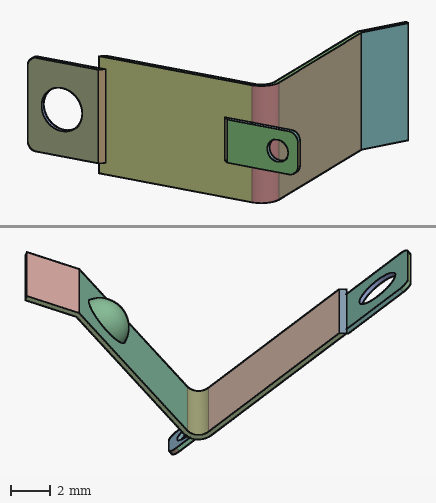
import cadquery as cq
import math

length = 15.57
depth = 12.0
strip_width = 6.35
thickness = 0.25

base_start = 3.97
bend_start = 12.78
bend_radius = 1.05
bend_end = math.radians(-5)
lean = math.radians(1.9)
flare = math.radians(32)
kink_y = 9.55
bevel = 0.3

tab_corner_radius = 0.5
large_tab_width = 5.08
large_tab_end = 4.38
large_hole_x = 1.98
large_hole_diameter = 2.34
small_tab_width = 2.34
small_tab_start = 11.23
small_hole_x = 14.42
small_hole_diameter = 1.2

dome_radius = 1.5
dome_height = 1.0
dome_y = 7.45


def extrude_centred(profile, width):
    return profile.close().extrude(width / 2, both=True)


def bend_point(radius, angle):
    """Point on the bend, with the angle measured from +X."""
    return (
        bend_start + radius * math.cos(angle),
        thickness + bend_radius + radius * math.sin(angle),
    )


def outer_upright_x(y):
    start_x, start_y = bend_point(bend_radius, bend_end)
    return start_x + (y - start_y) * math.tan(lean)


def make_strip():
    inner_radius = bend_radius - thickness
    mid_bend = -math.pi / 4

    outer_kink = (outer_upright_x(kink_y), kink_y)
    mitre = thickness / math.cos((flare - lean) / 2)
    mitre_angle = (flare + lean) / 2
    inner_kink = (
        outer_kink[0] - mitre * math.cos(mitre_angle),
        outer_kink[1] + mitre * math.sin(mitre_angle),
    )
    inner_tip = (inner_kink[0] + (depth - inner_kink[1]) * math.tan(flare), depth)
    outer_tip = (
        inner_tip[0] + thickness * math.cos(flare),
        inner_tip[1] - thickness * math.sin(flare),
    )

    profile = (
        cq.Workplane("XY")
        .moveTo(base_start, thickness)
        .lineTo(bend_start, thickness)
        .threePointArc(bend_point(bend_radius, mid_bend), bend_point(bend_radius, bend_end))
        .lineTo(*outer_kink)
        .lineTo(*outer_tip)
        .lineTo(*inner_tip)
        .lineTo(*inner_kink)
        .lineTo(*bend_point(inner_radius, bend_end))
        .threePointArc(bend_point(inner_radius, mid_bend), (bend_start, 2 * thickness))
        .lineTo(base_start + bevel, 2 * thickness)
    )
    return extrude_centred(profile, strip_width)


def make_tab(free_x, joined_x, width, hole_x, hole_diameter):
    """Flat tab under the strip, rounded at its free end and bevelled at the other."""
    toward_free = math.copysign(1, free_x - joined_x)
    profile = (
        cq.Workplane("XY")
        .moveTo(free_x, 0)
        .lineTo(joined_x + toward_free * bevel, 0)
        .lineTo(joined_x, thickness)
        .lineTo(free_x, thickness)
    )
    free_face = ">X" if toward_free > 0 else "<X"
    tab = extrude_centred(profile, width).faces(free_face).edges("|Y").fillet(tab_corner_radius)
    hole = cq.Workplane("XZ").center(hole_x, 0).circle(hole_diameter / 2).extrude(-thickness)
    return tab.cut(hole)


def make_dome():
    """Spherical cap, kept to the inner side of the upright."""
    inner_face_x = outer_upright_x(dome_y) - thickness / math.cos(lean)
    centre_x = inner_face_x - dome_height + dome_radius
    sphere = cq.Workplane("XY").sphere(dome_radius).translate((centre_x, dome_y, 0))
    block_size = 4 * dome_radius
    trim = (
        cq.Workplane("XY")
        .box(block_size, block_size, block_size)
        .translate((block_size / 2, 0, 0))
        .rotate((0, 0, 0), (0, 0, 1), -math.degrees(lean))
        .translate((inner_face_x + thickness / 2, dome_y, 0))
    )
    return sphere.cut(trim)


large_tab = make_tab(0, large_tab_end, large_tab_width, large_hole_x, large_hole_diameter)
small_tab = make_tab(length, small_tab_start, small_tab_width, small_hole_x, small_hole_diameter)

result = make_strip().union(large_tab).union(small_tab).union(make_dome())